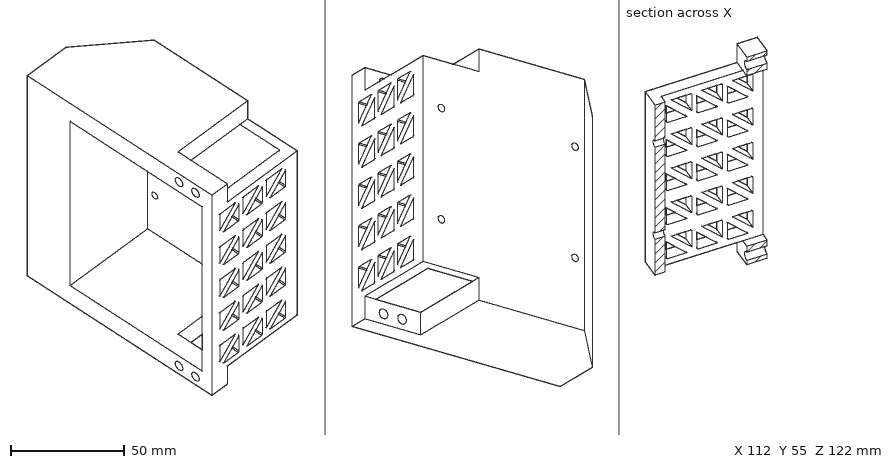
import cadquery as cq
import math

LENGTH = 112.0
DEPTH = 55.0
HEIGHT = 122.0

SLOPE_START_Y = 25.0
SLOPE_ANGLE = 50.0
SLOPE_LENGTH = (DEPTH - SLOPE_START_Y) / math.tan(math.radians(SLOPE_ANGLE))

SIDE_WALL = 6.0
END_WALL = 11.0
BACK_WALL = 5.0
CAVITY_LENGTH = 80.0
CAVITY_RIGHT = LENGTH - SIDE_WALL
CAVITY_LEFT = CAVITY_RIGHT - CAVITY_LENGTH

FLANGE_THICKNESS = 10.0
NOTCH_LENGTH = 30.0
NOTCH_LEFT = LENGTH - NOTCH_LENGTH

FLANGE_HOLE_DIAMETER = 4.6
FLANGE_HOLE_SPACING = 10.0
FLANGE_HOLE_INSET_X = 10.0
FLANGE_HOLE_INSET_Z = 5.0
FLANGE_HOLE_RIGHT = LENGTH - FLANGE_HOLE_INSET_X

BACK_HOLE_DIAMETER = 3.5
BACK_HOLE_SPACING_X = 71.9
BACK_HOLE_SPACING_Z = 54.0
BACK_HOLE_CENTER_X = 66.2

WINDOW_SIZE = 12.5
WINDOW_COLUMNS = 3
WINDOW_ROWS = 5
WINDOW_PITCH_Y = 15.0
WINDOW_PITCH_Z = 20.0
WINDOW_CENTER_Y = 26.25
WINDOW_CENTER_Z = 60.75
BRACE_WIDTH = 3.5
CORNER_CUT = 0.5


def block(x_range, y_range, z_range):
    """Axis-aligned box spanning the given coordinate ranges."""
    size = [high - low for low, high in (x_range, y_range, z_range)]
    corner = (x_range[0], y_range[0], z_range[0])
    return cq.Workplane("XY").box(*size, centered=False).translate(corner)


def make_body():
    """Solid housing with the sloped back corner."""
    outline = [
        (0, 0),
        (LENGTH, 0),
        (LENGTH, DEPTH),
        (SLOPE_LENGTH, DEPTH),
        (0, SLOPE_START_Y),
    ]
    return cq.Workplane("XY").polyline(outline).close().extrude(HEIGHT)


def make_cavity():
    """Rectangular pocket that leaves the back wall standing."""
    return block(
        (CAVITY_LEFT, CAVITY_RIGHT),
        (0, DEPTH - BACK_WALL),
        (END_WALL, HEIGHT - END_WALL),
    )


def make_end_notch(bottom):
    """Notch one end wall deep, starting at the given height."""
    return block(
        (NOTCH_LEFT, LENGTH),
        (FLANGE_THICKNESS, DEPTH),
        (bottom, bottom + END_WALL),
    )


def make_y_holes(centers, diameter, start, length):
    """Round holes along Y at the given (x, z) centers."""
    plane = cq.Workplane("XZ", origin=(0, start, 0))
    return plane.pushPoints(centers).circle(diameter / 2).extrude(-length)


def make_flange_holes():
    """Screw holes through the front flange."""
    centers = [
        (x, z)
        for x in (FLANGE_HOLE_RIGHT - FLANGE_HOLE_SPACING, FLANGE_HOLE_RIGHT)
        for z in (FLANGE_HOLE_INSET_Z, HEIGHT - FLANGE_HOLE_INSET_Z)
    ]
    return make_y_holes(centers, FLANGE_HOLE_DIAMETER, 0, FLANGE_THICKNESS)


def make_back_holes():
    """Mounting holes in a rectangle through the back wall."""
    centers = [
        (BACK_HOLE_CENTER_X + dx, HEIGHT / 2 + dz)
        for dx in (-BACK_HOLE_SPACING_X / 2, BACK_HOLE_SPACING_X / 2)
        for dz in (-BACK_HOLE_SPACING_Z / 2, BACK_HOLE_SPACING_Z / 2)
    ]
    return make_y_holes(centers, BACK_HOLE_DIAMETER, DEPTH - BACK_WALL, BACK_WALL)


def make_brace_opening(side):
    """Triangular opening with a clipped corner; side is 1 (front, above the brace) or -1 (back, below)."""
    half = WINDOW_SIZE / 2
    leg = WINDOW_SIZE - BRACE_WIDTH / math.sqrt(2)
    outline = [
        (-side * (half - CORNER_CUT), side * half),
        (side * (leg - half), side * half),
        (-side * half, side * (half - leg)),
        (-side * half, side * (half - CORNER_CUT)),
    ]
    return cq.Workplane("YZ").polyline(outline).close().extrude(SIDE_WALL)


def cut_windows(part):
    """Cut the grid of braced windows through the +X side wall."""
    openings = [make_brace_opening(side) for side in (-1, 1)]
    for column in range(WINDOW_COLUMNS):
        y = WINDOW_CENTER_Y + (column - (WINDOW_COLUMNS - 1) / 2) * WINDOW_PITCH_Y
        for row in range(WINDOW_ROWS):
            z = WINDOW_CENTER_Z + (row - (WINDOW_ROWS - 1) / 2) * WINDOW_PITCH_Z
            for opening in openings:
                part = part.cut(opening.translate((CAVITY_RIGHT, y, z)))
    return part


def make_part():
    """Housing with every opening cut."""
    part = make_body().cut(make_cavity())
    for bottom in (0, HEIGHT - END_WALL):
        part = part.cut(make_end_notch(bottom))
    part = part.cut(make_flange_holes()).cut(make_back_holes())
    return cut_windows(part)


result = make_part()